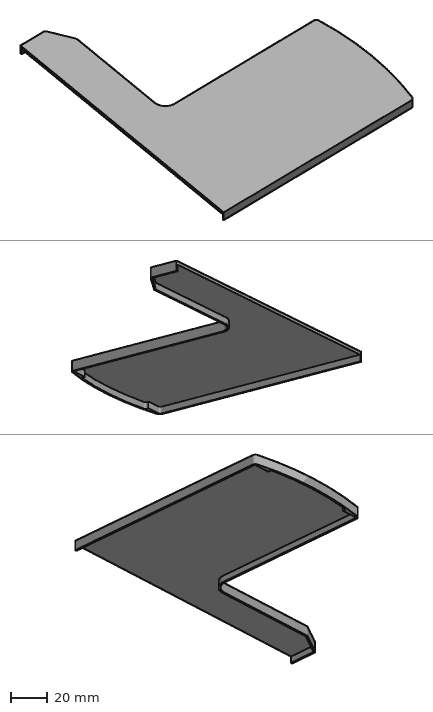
import cadquery as cq
import math

length = 172.5
depth = 142.0
height = 6.0
plate_thickness = 2.0
wall = 1.0

arm_width = 27.0
arm_end_width = 17.8
bevel_angle = math.radians(30)
panel_left = 89.9
crown_radius = 189.8

corner_radius = 2.0
elbow_radius = 8.0
inner_corner_radius = corner_radius - wall
inner_elbow_radius = elbow_radius + wall

crown_recess_half_width = 29.7

panel_center = (panel_left + length) / 2
panel_half_width = (length - panel_left) / 2
bevel_run = (arm_width - arm_end_width) / math.tan(bevel_angle)


def crown_height(offset, inset):
    """Y of the crowned edge, moved inward by inset, at an X offset from the panel centre."""
    radius = crown_radius - inset
    return depth - crown_radius + math.sqrt(radius**2 - offset**2)


def round_corners(body, corners, radius):
    """Round the vertical edges standing at the given corners."""
    for x, y in corners:
        edge = cq.selectors.NearestToPointSelector((x, y, body.val().Center().z))
        body = body.edges("|Z").edges(edge).fillet(radius)
    return body


def outer_body():
    shoulder = crown_height(panel_half_width, 0)
    arm_end = (0, arm_end_width)
    bevel_top = (bevel_run, arm_width)
    elbow = (panel_left, arm_width)
    left_shoulder = (panel_left, shoulder)
    right_shoulder = (length, shoulder)
    body = (
        cq.Workplane("XY")
        .polyline([(length, 0), (0, 0), arm_end, bevel_top, elbow, left_shoulder])
        .threePointArc((panel_center, depth), right_shoulder)
        .close()
        .extrude(height)
    )
    body = round_corners(body, [arm_end, bevel_top, left_shoulder, right_shoulder], corner_radius)
    return round_corners(body, [elbow], elbow_radius)


def cavity():
    """Space inside the rim, open at the bottom and along the straight Y = 0 edge."""
    arm_end_shift = wall * (1 - math.sin(bevel_angle)) / math.cos(bevel_angle)
    bevel_top_shift = wall * math.tan(bevel_angle / 2)
    arm_end = (wall, arm_end_width - arm_end_shift)
    bevel_top = (bevel_run + bevel_top_shift, arm_width - wall)
    elbow = (panel_left + wall, arm_width - wall)

    ledge = crown_height(panel_half_width, 0) - wall
    recess_left = panel_center - crown_recess_half_width
    recess_right = panel_center + crown_recess_half_width
    recess_top = crown_height(crown_recess_half_width, wall)
    left_shoulder = (panel_left + wall, ledge)
    right_shoulder = (length - wall, ledge)
    recess_start = (recess_left, recess_top)
    recess_end = (recess_right, recess_top)

    space = (
        cq.Workplane("XY")
        .polyline([(length - wall, 0), (wall, 0), arm_end, bevel_top, elbow,
                   left_shoulder, (recess_left, ledge), recess_start])
        .threePointArc((panel_center, depth - wall), recess_end)
        .lineTo(recess_right, ledge)
        .lineTo(*right_shoulder)
        .close()
        .extrude(height - plate_thickness)
    )
    tight_corners = [arm_end, bevel_top, left_shoulder, recess_start, recess_end, right_shoulder]
    space = round_corners(space, tight_corners, inner_corner_radius)
    return round_corners(space, [elbow], inner_elbow_radius)


result = outer_body().cut(cavity())